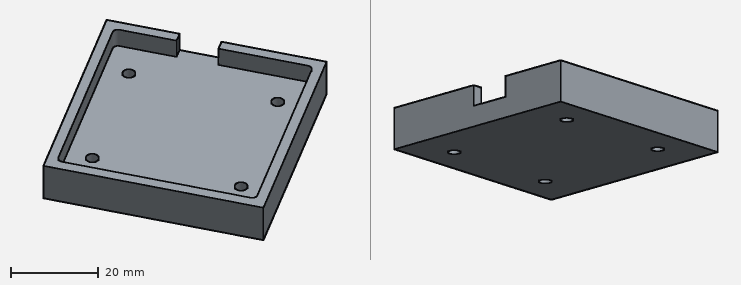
import cadquery as cq

side = 52.5
height = 10.0
wall = 2.5
floor_thickness = 5.0
cavity_corner_radius = 1.25

hole_diameter = 3.0
hole_spacing_x = 35.5
hole_spacing_y = 30.4

notch_width = 10.0
notch_center_x = -3.85

on_base = (True, True, False)


def make_cavity():
    cavity_side = side - 2 * wall
    return (
        cq.Workplane("XY", origin=(0, 0, floor_thickness))
        .box(cavity_side, cavity_side, height - floor_thickness, centered=on_base)
        .edges("|Z")
        .fillet(cavity_corner_radius)
    )


def make_holes():
    return (
        cq.Workplane("XY")
        .rarray(hole_spacing_x, hole_spacing_y, 2, 2)
        .circle(hole_diameter / 2)
        .extrude(floor_thickness)
    )


def make_notch():
    notch_center_y = (side - wall) / 2
    return cq.Workplane("XY", origin=(notch_center_x, notch_center_y, floor_thickness)).box(
        notch_width, wall, height - floor_thickness, centered=on_base
    )


tray = cq.Workplane("XY").box(side, side, height, centered=on_base)
result = tray.cut(make_cavity()).cut(make_holes()).cut(make_notch())